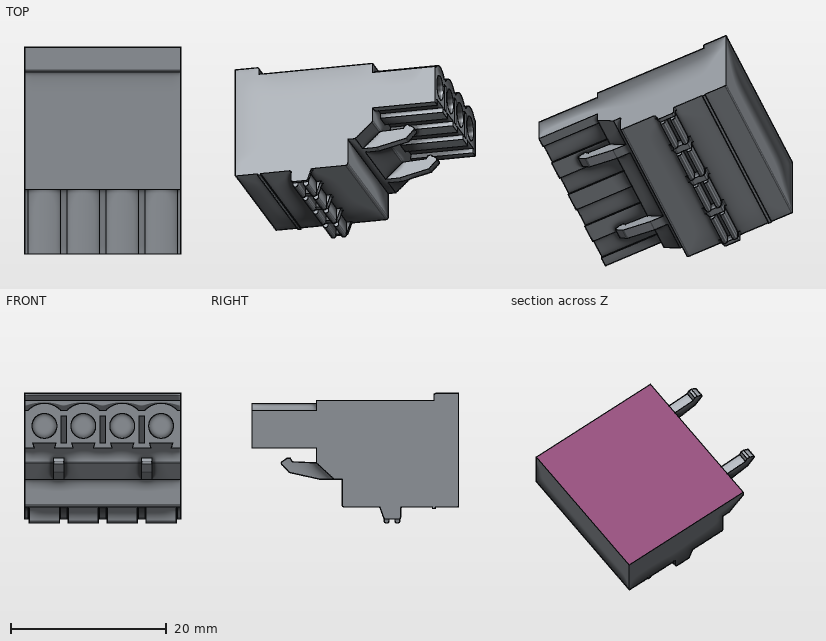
import cadquery as cq
import math


POLES = 4
PITCH = 5.0
WIDTH = 20.1
LENGTH = 26.6
HEIGHT = 16.7
POLE_XS = [(i - (POLES - 1) / 2) * PITCH for i in range(POLES)]
GAP_XS = [(i - POLES / 2) * PITCH for i in range(POLES + 1)]

HOUSING_FRONT_Y = -18.3
STEP_FRONT_Y = -15.0
FLOOR_Z = 2.07
STEP_Z = 5.63
SLOPE_TOP_Z = 7.76
SLOPE_BOTTOM_Y = -16.0
LIP_LENGTH = 3.2
LIP_HEIGHT = 0.93
SHOULDER_Z = HEIGHT - LIP_HEIGHT
EDGE_ROUND = 0.3
SLOPE_ROUND = 0.3
BACK_ROUND = 0.15

BARREL_Z = 12.5
BARREL_RADIUS = 2.9
BARREL_CHORD = 4.2
BARREL_BASE_Z = BARREL_Z + math.sqrt(BARREL_RADIUS**2 - (BARREL_CHORD / 2) ** 2)
BARREL_BOTTOM_Z = 9.63
BARREL_LENGTH = LENGTH + HOUSING_FRONT_Y
HOLE_DIAMETER = 3.2
HOLE_DEPTH = 1.0
SLOT_WIDTH = 0.7
SLOT_BOTTOM_Z = 10.33
SLOT_TOP_Z = 13.77
KEYWAY_TOP_WIDTH = 3.0
KEYWAY_MOUTH_WIDTH = 2.6
KEYWAY_TOP_Z = SLOT_BOTTOM_Z

HOOK_WIDTH = 1.3
HOOK_X = 5.65
HOOK_BEND_Y = -17.85
HOOK_NECK = (-21.4, 7.9)
HOOK_BARB_BACK = (-21.65, 8.35)
HOOK_BARB_FRONT = (-22.05, 8.35)
HOOK_TIP = (-22.95, 7.75)
HOOK_CHIN = (-21.75, 6.5)
HOOK_ROUND = 0.25

RIB_WIDTH = 0.9
RIB_BACK_Y = -7.45
RIB_FRONT_Y = -9.6
RIB_ROOT_Y = -10.15
RIB_BOTTOM_Z = 0.53
RIB_ROOT_ROUND = 0.2
RIB_TIP_ROUND = 0.25
RIB_FLANGE = 0.5
PLATE_WIDTH = 3.9
PLATE_THICKNESS = 0.65
PLATE_BACK_YS = [-7.55, RIB_FRONT_Y + PLATE_THICKNESS]
PLATE_TIP_ROUND = 0.3

RIDGE_BACK_Y = -3.0
RIDGE_LENGTH = 0.4
RIDGE_HEIGHT = 0.2


def box(x_center, width, y_front, y_back, z_low, z_high):
    """Axis-aligned block centred on x_center."""
    size = (width, y_back - y_front, z_high - z_low)
    return cq.Workplane("XY").box(*size, centered=(True, False, False)).translate((x_center, y_front, z_low))


def side_profile(points, x_center, width):
    """Extrude a (Y, Z) outline along X, centred on x_center."""
    plane = cq.Workplane("YZ", origin=(x_center, 0, 0))
    return plane.polyline(points).close().extrude(width / 2, both=True)


def edge_at(y, z, x=0):
    """Selector for the X-direction edge whose middle lies at (x, y, z)."""
    return cq.selectors.NearestToPointSelector((x, y, z))


def front_face_sketch():
    """Workplane on the front face, with local axes along X and Z."""
    return cq.Workplane("XZ", origin=(0, -LENGTH, 0))


def make_housing():
    outline = [
        (0, FLOOR_Z),
        (0, HEIGHT),
        (-LIP_LENGTH, HEIGHT),
        (-LIP_LENGTH, SHOULDER_Z),
        (HOUSING_FRONT_Y, SHOULDER_Z),
        (HOUSING_FRONT_Y, SLOPE_TOP_Z),
        (SLOPE_BOTTOM_Y, STEP_Z),
        (STEP_FRONT_Y, STEP_Z),
        (STEP_FRONT_Y, FLOOR_Z),
    ]
    housing = side_profile(outline, 0, WIDTH)
    housing = housing.edges(edge_at(-LIP_LENGTH, HEIGHT)).fillet(EDGE_ROUND)
    housing = housing.edges(edge_at(STEP_FRONT_Y, FLOOR_Z)).fillet(EDGE_ROUND)
    housing = housing.edges(edge_at(HOUSING_FRONT_Y, SLOPE_TOP_Z)).fillet(SLOPE_ROUND)
    return housing.edges(edge_at(0, FLOOR_Z)).fillet(BACK_ROUND)


def make_barrel_block():
    """Front block whose top carries one arc per pole."""
    half_chord = BARREL_CHORD / 2
    outline = front_face_sketch().moveTo(-WIDTH / 2, BARREL_BOTTOM_Z).lineTo(-WIDTH / 2, BARREL_BASE_Z)
    for x in POLE_XS:
        crown = (x, BARREL_Z + BARREL_RADIUS)
        outline = outline.lineTo(x - half_chord, BARREL_BASE_Z)
        outline = outline.threePointArc(crown, (x + half_chord, BARREL_BASE_Z))
    outline = outline.lineTo(WIDTH / 2, BARREL_BASE_Z).lineTo(WIDTH / 2, BARREL_BOTTOM_Z).close()
    return outline.extrude(-BARREL_LENGTH)


def make_contact_holes():
    centers = [(x, BARREL_Z) for x in POLE_XS]
    return front_face_sketch().pushPoints(centers).circle(HOLE_DIAMETER / 2).extrude(-HOLE_DEPTH)


def make_keyway(x):
    """Dovetail groove under one barrel, open at the bottom."""
    outline = [
        (x - KEYWAY_MOUTH_WIDTH / 2, BARREL_BOTTOM_Z),
        (x - KEYWAY_TOP_WIDTH / 2, KEYWAY_TOP_Z),
        (x + KEYWAY_TOP_WIDTH / 2, KEYWAY_TOP_Z),
        (x + KEYWAY_MOUTH_WIDTH / 2, BARREL_BOTTOM_Z),
    ]
    return front_face_sketch().polyline(outline).close().extrude(-BARREL_LENGTH)


def make_slot(x):
    """Narrow slot between two neighbouring barrels."""
    return box(x, SLOT_WIDTH, -LENGTH, HOUSING_FRONT_Y, SLOT_BOTTOM_Z, SLOT_TOP_Z)


def make_hook(x):
    """Latch arm growing out of the sloped face, with a barbed tip."""
    outline = [
        (SLOPE_BOTTOM_Y, STEP_Z),
        (SLOPE_BOTTOM_Y, SLOPE_TOP_Z),
        (HOUSING_FRONT_Y, SLOPE_TOP_Z),
        HOOK_NECK,
        HOOK_BARB_BACK,
        HOOK_BARB_FRONT,
        HOOK_TIP,
        HOOK_CHIN,
        (HOOK_BEND_Y, STEP_Z),
    ]
    hook = side_profile(outline, x, HOOK_WIDTH)
    hook = hook.edges(edge_at(*HOOK_TIP, x)).fillet(HOOK_ROUND)
    return hook.edges(edge_at(*HOOK_CHIN, x)).fillet(HOOK_ROUND)


def make_rib(x):
    """Tapered foot between two poles, with a flange sunk in the housing to carry its root rounds."""
    flange_back_y = RIB_BACK_Y + RIB_FLANGE
    flange_front_y = RIB_ROOT_Y - RIB_FLANGE
    flange_top_z = FLOOR_Z + RIB_FLANGE
    outline = [
        (flange_back_y, flange_top_z),
        (flange_back_y, FLOOR_Z),
        (RIB_BACK_Y, FLOOR_Z),
        (RIB_BACK_Y, RIB_BOTTOM_Z),
        (RIB_FRONT_Y, RIB_BOTTOM_Z),
        (RIB_ROOT_Y, FLOOR_Z),
        (flange_front_y, FLOOR_Z),
        (flange_front_y, flange_top_z),
    ]
    rib = side_profile(outline, x, RIB_WIDTH)
    for root_y in (RIB_BACK_Y, RIB_ROOT_Y):
        rib = rib.edges(edge_at(root_y, FLOOR_Z, x)).fillet(RIB_ROOT_ROUND)
    return rib.faces("<Z").edges("|X").fillet(RIB_TIP_ROUND)


def make_plate(x, y_back):
    """Foot plate with a rounded tip."""
    plate = box(x, PLATE_WIDTH, y_back - PLATE_THICKNESS, y_back, 0, FLOOR_Z)
    return plate.faces("<Z").edges("|X").fillet(PLATE_TIP_ROUND)


part = make_housing().union(make_barrel_block()).cut(make_contact_holes())
for pole_x in POLE_XS:
    part = part.cut(make_keyway(pole_x))
    for plate_back_y in PLATE_BACK_YS:
        part = part.union(make_plate(pole_x, plate_back_y))
for slot_x in GAP_XS[1:-1]:
    part = part.cut(make_slot(slot_x))
for hook_x in (-HOOK_X, HOOK_X):
    part = part.union(make_hook(hook_x))

envelope = box(0, WIDTH, -LENGTH, 0, 0, HEIGHT)
for rib_x in GAP_XS:
    part = part.union(make_rib(rib_x).intersect(envelope))

ridge = box(0, WIDTH, RIDGE_BACK_Y - RIDGE_LENGTH, RIDGE_BACK_Y, FLOOR_Z - RIDGE_HEIGHT, FLOOR_Z)
result = part.union(ridge)